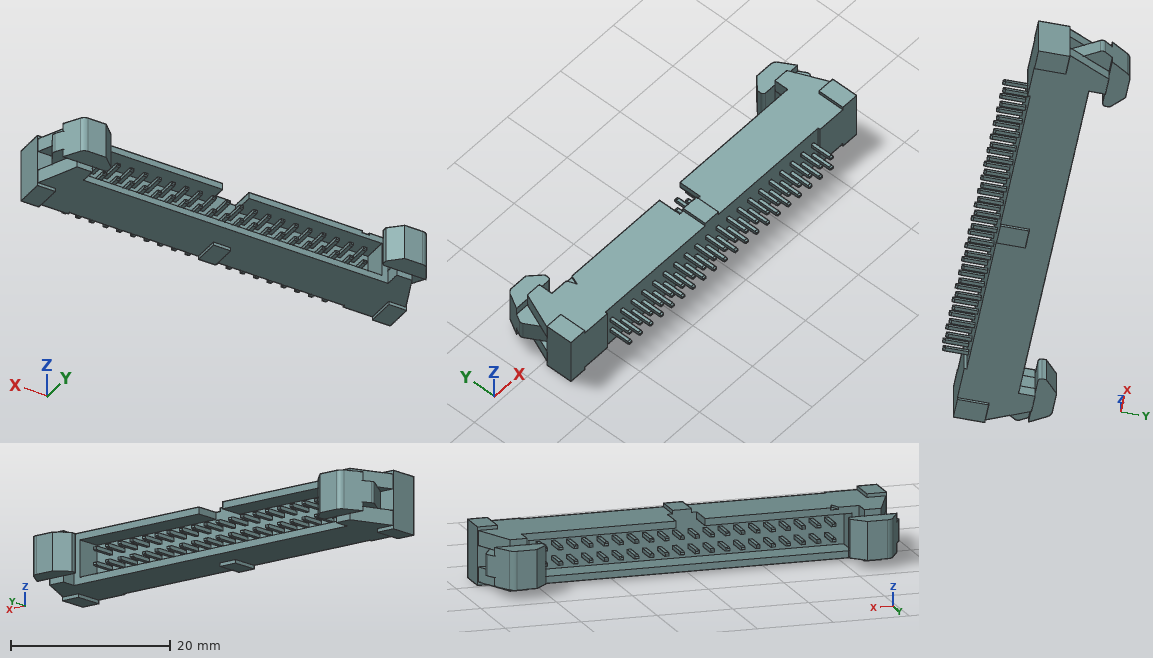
import cadquery as cq
import math


FLOOR_Y = 0.3
BLOCK_TOP_Y = 4.0
MOUTH_Y = 7.4
EAR_TOP_Y = 9.5
LATCH_TOP_Y = 12.2
PIN_TOP_Y = 7.25
TAIL_TIP_Y = -2.95

BLOCK_HALF_LENGTH = 26.95
BLOCK_INNER_X = 24.35
BLOCK_DEPTH = 7.6
BODY_DEPTH = 6.7
FOOT_INNER_X = 20.05
EAR_INNER_X = 22.25
EAR_TOP_OUTER_X = 24.45
EAR_BASE_OUTER_X = 26.85
WALL = 0.9
EAR_SLOT_DEPTH = 2.8

KEY_RIB_LENGTH = 2.5
KEY_NOTCH_LENGTH = 3.85

MARK_LENGTH = 1.1
MARK_HEIGHT = 1.3
MARK_RECESS = 0.25

PINS_PER_ROW = 20
PIN_SPAN = 38.0
PITCH = PIN_SPAN / (PINS_PER_ROW - 1)
PIN_WIDTH = 0.5
PIN_TIP_LENGTH = 0.25
PIN_TIP_INSET = 0.1
FIRST_PIN_X = -PIN_SPAN / 2

LATCH_OUTER_X = 27.2
LATCH_HEAD_DEPTH = 5.05
BUMP_Y = 8.2
BUMP_RADIUS = 0.65
BACK_ANGLE = math.radians(30)
HEAD_CORNER_RADIUS = 1.0
NOSE_X = 20.05
NOSE_TOP_Y = 10.5
NOSE_RADIUS = 0.45
HEAD_TOP_INNER_X = 21.8


def slab(outline, depth):
    """Extrude an XY outline by depth, centred on Z = 0."""
    return cq.Workplane("XY").polyline(outline).close().extrude(depth / 2, both=True)


def block(x_min, x_max, y_min, y_max, z_min, z_max):
    """Box between two opposite corners."""
    size = (x_max - x_min, y_max - y_min, z_max - z_min)
    return cq.Workplane("XY").box(*size, centered=False).translate((x_min, y_min, z_min))


def make_body():
    """Long body with a sloped ear and a foot at each end."""
    right_half = [
        (FOOT_INNER_X, FLOOR_Y),
        (FOOT_INNER_X, 0),
        (EAR_BASE_OUTER_X, 0),
        (EAR_BASE_OUTER_X, BLOCK_TOP_Y),
        (EAR_TOP_OUTER_X, EAR_TOP_Y),
        (EAR_INNER_X, EAR_TOP_Y),
        (EAR_INNER_X, MOUTH_Y),
    ]
    left_half = [(-x, y) for x, y in reversed(right_half)]
    return slab(right_half + left_half, BODY_DEPTH)


def make_end_block():
    """Thicker block around the +X foot."""
    half_depth = BLOCK_DEPTH / 2
    return block(BLOCK_INNER_X, BLOCK_HALF_LENGTH, 0, BLOCK_TOP_Y, -half_depth, half_depth)


def make_key_ribs():
    """Ribs that stand as proud of both long walls as the end blocks."""
    half_length = KEY_RIB_LENGTH / 2
    half_depth = BLOCK_DEPTH / 2
    return block(-half_length, half_length, FLOOR_Y, BLOCK_TOP_Y, -half_depth, half_depth)


def make_ear_slot():
    """Slot that splits the +X ear in two and holds the latch lever."""
    half_depth = EAR_SLOT_DEPTH / 2
    return block(EAR_INNER_X, BLOCK_HALF_LENGTH, BLOCK_TOP_Y, EAR_TOP_Y, -half_depth, half_depth)


def make_cavity():
    """Mating cavity, one wall thickness inside the body and the ears."""
    half_length = EAR_INNER_X - WALL
    half_depth = BODY_DEPTH / 2 - WALL
    return block(-half_length, half_length, BLOCK_TOP_Y, MOUTH_Y, -half_depth, half_depth)


def make_key_notch():
    """Polarising notch through the +Z wall."""
    half_length = KEY_NOTCH_LENGTH / 2
    return block(-half_length, half_length, BLOCK_TOP_Y, MOUTH_Y, 0, BLOCK_DEPTH / 2)


def make_pin_one_mark():
    """Triangular recess in the +Z wall at the rim, above the first pin."""
    outline = [
        (FIRST_PIN_X - MARK_LENGTH / 2, MOUTH_Y),
        (FIRST_PIN_X + MARK_LENGTH / 2, MOUTH_Y),
        (FIRST_PIN_X, MOUTH_Y - MARK_HEIGHT),
    ]
    mark = cq.Workplane("XY").polyline(outline).close().extrude(MARK_RECESS)
    return mark.translate((0, 0, BODY_DEPTH / 2 - MARK_RECESS))


def make_pins():
    """Two rows of square pins through the housing floor, both tips tapered across Z."""
    half_width = PIN_WIDTH / 2
    half_tip = half_width - PIN_TIP_INSET
    upper_side = [
        (TAIL_TIP_Y, half_tip),
        (TAIL_TIP_Y + PIN_TIP_LENGTH, half_width),
        (PIN_TOP_Y - PIN_TIP_LENGTH, half_width),
        (PIN_TOP_Y, half_tip),
    ]
    lower_side = [(y, -z) for y, z in reversed(upper_side)]
    pin = cq.Workplane("YZ").polyline(upper_side + lower_side).close().extrude(half_width, both=True)
    pins = []
    for column in range(PINS_PER_ROW):
        pin_x = FIRST_PIN_X + column * PITCH
        for pin_z in (-PITCH / 2, PITCH / 2):
            pins.append(pin.translate((pin_x, 0, pin_z)))
    return pins


def make_housing():
    """Housing with its moulded-in pins, as one solid."""
    end_block = make_end_block()
    ear_slot = make_ear_slot()
    housing = make_body().union(end_block).union(end_block.mirror("YZ")).union(make_key_ribs())
    housing = housing.cut(ear_slot).cut(ear_slot.mirror("YZ"))
    housing = housing.cut(make_cavity()).cut(make_key_notch()).cut(make_pin_one_mark())
    for pin in make_pins():
        housing = housing.union(pin)
    return housing


def back_x(y):
    """X at height y of the +X latch's straight back, which is tangent to the top of the bump."""
    centre_x = LATCH_OUTER_X - BUMP_RADIUS
    return centre_x + BUMP_RADIUS / math.cos(BACK_ANGLE) - (y - BUMP_Y) * math.tan(BACK_ANGLE)


def make_lever():
    """Lever of the +X latch: fills the ear slot and bulges out behind it in a rounded bump."""
    half_bump = BUMP_RADIUS * math.sin(BACK_ANGLE)
    bump_end_x = back_x(BUMP_Y + half_bump)
    heel_x = back_x(2 * BUMP_Y - BLOCK_TOP_Y)
    lever = (
        cq.Workplane("XY")
        .moveTo(EAR_INNER_X, BLOCK_TOP_Y)
        .lineTo(heel_x, BLOCK_TOP_Y)
        .lineTo(bump_end_x, BUMP_Y - half_bump)
        .threePointArc((LATCH_OUTER_X, BUMP_Y), (bump_end_x, BUMP_Y + half_bump))
        .lineTo(back_x(EAR_TOP_Y), EAR_TOP_Y)
        .lineTo(EAR_INNER_X, EAR_TOP_Y)
        .close()
    )
    return lever.extrude(EAR_SLOT_DEPTH / 2, both=True)


def make_head():
    """Hooked head of the +X latch, resting on top of the ear."""
    outline = [
        (back_x(EAR_TOP_Y), EAR_TOP_Y),
        (back_x(LATCH_TOP_Y), LATCH_TOP_Y),
        (HEAD_TOP_INNER_X, LATCH_TOP_Y),
        (NOSE_X, NOSE_TOP_Y),
        (NOSE_X, EAR_TOP_Y),
    ]
    head = slab(outline, LATCH_HEAD_DEPTH)
    head = head.edges("|Z").edges(">Y").edges(">X").fillet(HEAD_CORNER_RADIUS)
    return head.edges("|Z").edges("<Y").edges("<X").fillet(NOSE_RADIUS)


def make_latch(end):
    """Latch in the ear at the +X end (end = 1) or the -X end (end = -1)."""
    latch = make_lever().union(make_head())
    if end < 0:
        latch = latch.mirror("YZ")
    return latch


housing = make_housing()
latches = [make_latch(end) for end in (-1, 1)]

result = cq.Compound.makeCompound([housing.val(), *[latch.val() for latch in latches]])